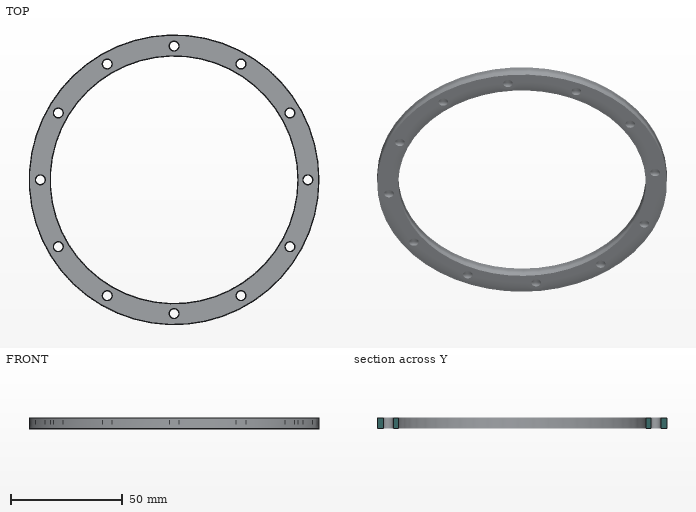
import cadquery as cq

outer_diameter = 130.0
inner_diameter = 111.0
thickness = 5.0

hole_count = 12
hole_diameter = 4.3
bolt_circle_diameter = 120.0


def make_ring():
    """Plain ring standing on the XY plane, centred on Z."""
    return (
        cq.Workplane("XY")
        .circle(outer_diameter / 2)
        .circle(inner_diameter / 2)
        .extrude(thickness)
    )


def make_bolt_holes():
    """Cylinders to be removed, evenly spaced on the bolt circle."""
    return (
        cq.Workplane("XY")
        .polarArray(bolt_circle_diameter / 2, 0, 360, hole_count)
        .circle(hole_diameter / 2)
        .extrude(thickness)
    )


result = make_ring().cut(make_bolt_holes())